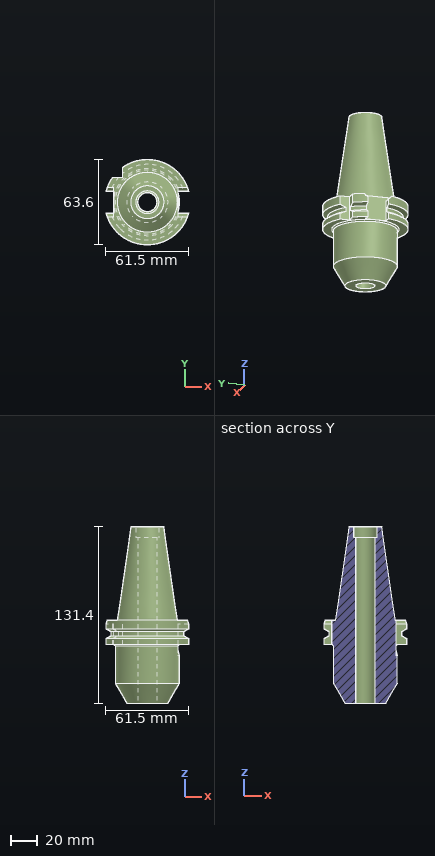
import cadquery as cq
import math

TAPER_TOP = 68.4
FLANGE_TOP = -1.0
FLANGE_BOTTOM = -19.1
GROOVE_CENTRE = -11.1
NECK_BEVEL = 1.15
CONE_TOP = -48.0
NOSE_BOTTOM = -63.0

GAUGE_RADIUS = 44.45 / 2
TAPER_RATIO = 7 / 24
TAPER_TOP_RADIUS = GAUGE_RADIUS - TAPER_TOP * TAPER_RATIO / 2
FLANGE_RADIUS = 63.55 / 2
BODY_RADIUS = 23.85
NOSE_ANGLE = math.radians(30)
NOSE_RADIUS = BODY_RADIUS - (CONE_TOP - NOSE_BOTTOM) * math.tan(NOSE_ANGLE)

GROOVE_FLOOR_RADIUS = 56.5 / 2
GROOVE_MOUTH = 7.1
GROOVE_FLANK_ANGLE = math.radians(30)
GROOVE_FLANK_HEIGHT = (FLANGE_RADIUS - GROOVE_FLOOR_RADIUS) * math.tan(GROOVE_FLANK_ANGLE)
GROOVE_FLOOR = GROOVE_MOUTH - 2 * GROOVE_FLANK_HEIGHT

SLOT_WIDTH = 16.1
SLOT_CHAMFER = 2.8
LEFT_SLOT_FLOOR = 25.0
RIGHT_SLOT_FLOOR = 22.8
NOTCH_OFFSET = 18.5

BORE_DIAMETER = 14.0
COUNTERBORE_DIAMETER = 17.0
COUNTERBORE_DEPTH = 8.0

CLEARANCE = 5.0


def turned_body():
    mouth_top = GROOVE_CENTRE + GROOVE_MOUTH / 2
    mouth_bottom = GROOVE_CENTRE - GROOVE_MOUTH / 2
    floor_top = GROOVE_CENTRE + GROOVE_FLOOR / 2
    floor_bottom = GROOVE_CENTRE - GROOVE_FLOOR / 2
    half_section = [
        (0, TAPER_TOP),
        (TAPER_TOP_RADIUS, TAPER_TOP),
        (GAUGE_RADIUS, 0),
        (GAUGE_RADIUS, FLANGE_TOP),
        (FLANGE_RADIUS, FLANGE_TOP),
        (FLANGE_RADIUS, mouth_top),
        (GROOVE_FLOOR_RADIUS, floor_top),
        (GROOVE_FLOOR_RADIUS, floor_bottom),
        (FLANGE_RADIUS, mouth_bottom),
        (FLANGE_RADIUS, FLANGE_BOTTOM),
        (BODY_RADIUS + NECK_BEVEL, FLANGE_BOTTOM),
        (BODY_RADIUS, FLANGE_BOTTOM - NECK_BEVEL),
        (BODY_RADIUS, CONE_TOP),
        (NOSE_RADIUS, NOSE_BOTTOM),
        (0, NOSE_BOTTOM),
    ]
    profile = cq.Workplane("YZ").polyline(half_section).close()
    return profile.revolve(360, (0, 0, 0), (0, 1, 0))


def drive_slot(floor, direction):
    """Radial slot through the flange, chamfered at the top and ending in a semicircle below it."""
    half_width = SLOT_WIDTH / 2
    half_mouth = half_width + SLOT_CHAMFER
    chamfer_bottom = FLANGE_TOP - SLOT_CHAMFER
    outline = (
        cq.Workplane("YZ", origin=(direction * floor, 0, 0))
        .moveTo(half_width, FLANGE_BOTTOM)
        .lineTo(half_width, chamfer_bottom)
        .lineTo(half_mouth, FLANGE_TOP)
        .lineTo(-half_mouth, FLANGE_TOP)
        .lineTo(-half_width, chamfer_bottom)
        .lineTo(-half_width, FLANGE_BOTTOM)
        .threePointArc((0, FLANGE_BOTTOM - half_width), (half_width, FLANGE_BOTTOM))
        .close()
    )
    return outline.extrude(direction * (FLANGE_RADIUS + CLEARANCE - floor))


def orientation_notch():
    """Square corner cut through the full flange thickness at -X, +Y."""
    height = FLANGE_TOP - FLANGE_BOTTOM
    corner = (-NOTCH_OFFSET, NOTCH_OFFSET, FLANGE_BOTTOM)
    size = FLANGE_RADIUS
    return cq.Workplane("XY", origin=corner).rect(-size, size, centered=False).extrude(height)


def bore():
    length = TAPER_TOP - NOSE_BOTTOM
    through = cq.Workplane("XY", origin=(0, 0, NOSE_BOTTOM)).circle(BORE_DIAMETER / 2).extrude(length)
    mouth = cq.Workplane("XY", origin=(0, 0, TAPER_TOP)).circle(COUNTERBORE_DIAMETER / 2)
    return through.union(mouth.extrude(-COUNTERBORE_DEPTH))


result = (
    turned_body()
    .cut(drive_slot(LEFT_SLOT_FLOOR, -1))
    .cut(drive_slot(RIGHT_SLOT_FLOOR, 1))
    .cut(orientation_notch())
    .cut(bore())
)